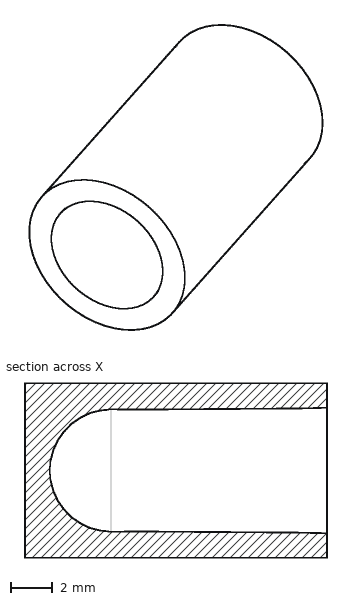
import cadquery as cq

length = 14.5
outer_diameter = 8.4
mouth_diameter = 6.0
dome_diameter = 5.86
end_wall = 1.2

mouth_radius = mouth_diameter / 2
dome_radius = dome_diameter / 2
mouth_y = -length / 2
dome_tip_y = length / 2 - end_wall
dome_centre_y = dome_tip_y - dome_radius
arc_mid_offset = dome_radius * 0.5 ** 0.5

body = cq.Workplane("XZ", origin=(0, mouth_y, 0)).circle(outer_diameter / 2).extrude(-length)

bore = (
    cq.Workplane("XY")
    .moveTo(0, mouth_y)
    .lineTo(mouth_radius, mouth_y)
    .lineTo(dome_radius, dome_centre_y)
    .threePointArc((arc_mid_offset, dome_centre_y + arc_mid_offset), (0, dome_tip_y))
    .close()
    .revolve(360, (0, 0, 0), (0, 1, 0))
)

result = body.cut(bore)